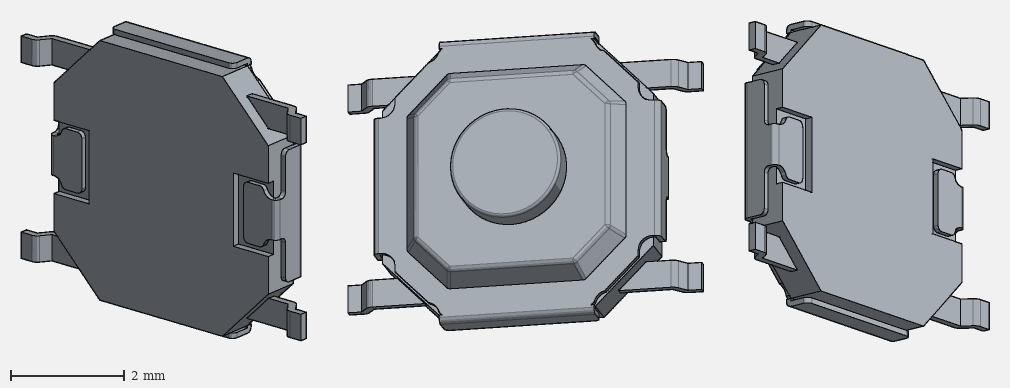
import cadquery as cq
import math


housing_half = 2.45
housing_bevel = 1.05
housing_top = 0.7
recess_half_width = 0.69
recess_depth = 0.15
recess_length = 0.8

sheet = 0.1
cover_top = housing_top + sheet
tab_outer = 2.6
tab_tip = 0.3
end_tab_half_width = 1.4
side_tab_half_width = 1.25
tab_corner_radius = 0.1
plate_bevel = 1.1
notch_radius = 0.25
notch_length = 0.2

neck_half_width = 0.38
foot_half_width = 0.575
foot_tip = 1.85
foot_corner_radius = 0.1
neck_flare_radius = foot_half_width - neck_half_width

dome_top = 1.2
dome_half = 1.985
dome_flat_half = 1.235
dome_draft = 30
dome_edge_radius = 0.1

button_radius = 1.0
button_top = 1.7
button_edge_radius = 0.05

lead_outer = 3.2
lead_thickness = 0.15
lead_width = 0.5
lead_offset = 1.85
lead_rise = 0.25
lead_foot_length = 0.25
lead_step_run = 0.25


def layer(height):
    """Workplane at a height above the mounting face; its axes are X and Z."""
    return cq.Workplane("XZ", origin=(0, height, 0))


def bevelled_square(half, bevel, bottom, top):
    return (
        layer(bottom)
        .rect(2 * half, 2 * half)
        .extrude(bottom - top)
        .edges("|Y")
        .chamfer(bevel)
    )


def make_housing():
    body = bevelled_square(housing_half, housing_bevel, 0, housing_top)
    recess_centre = housing_half - recess_length / 2
    recesses = (
        layer(0)
        .pushPoints([(-recess_centre, 0), (recess_centre, 0)])
        .rect(recess_length, 2 * recess_half_width)
        .extrude(-recess_depth)
    )
    return body.cut(recesses)


def make_plate():
    """Cover plate with a round-ended relief notch at both ends of every tab."""
    plate = bevelled_square(housing_half, plate_bevel, housing_top, cover_top)
    slot_length = notch_length + 2 * notch_radius
    end_notch = end_tab_half_width + slot_length / 2
    side_notch = side_tab_half_width + slot_length / 2
    for side_x in (-1, 1):
        for side_z in (-1, 1):
            end_slot = (
                layer(housing_top)
                .center(side_x * end_notch, side_z * housing_half)
                .slot2D(slot_length, 2 * notch_radius)
                .extrude(-sheet)
            )
            side_slot = (
                layer(housing_top)
                .center(side_x * housing_half, side_z * side_notch)
                .slot2D(slot_length, 2 * notch_radius, 90)
                .extrude(-sheet)
            )
            plate = plate.cut(end_slot).cut(side_slot)
    return plate


def make_dome():
    """Octagonal frustum with rounded top and slanting edges."""
    return (
        layer(cover_top)
        .polyline([
            (dome_flat_half, dome_half),
            (-dome_flat_half, dome_half),
            (-dome_half, dome_flat_half),
            (-dome_half, -dome_flat_half),
            (-dome_flat_half, -dome_half),
            (dome_flat_half, -dome_half),
            (dome_half, -dome_flat_half),
            (dome_half, dome_flat_half),
        ])
        .close()
        .extrude(cover_top - dome_top, taper=dome_draft)
        .edges("not <Y")
        .fillet(dome_edge_radius)
    )


def bent_lip(half_width):
    """Rim of the plate beyond the housing, and the tab below it, at the -X side."""
    rim_length = tab_outer - housing_half
    rim = cq.Workplane("XY").box(rim_length, sheet, 2 * half_width, centered=(False, False, True))
    skirt = cq.Workplane("XY").box(sheet, cover_top - tab_tip, 2 * half_width, centered=(False, False, True))
    return (
        rim.translate((-tab_outer, housing_top, 0))
        .union(skirt.translate((-tab_outer, tab_tip, 0)))
        .edges("|Z and <X and >Y")
        .fillet(sheet)
    )


def make_end_tab():
    """Tab with rounded lower corners, at the -X side."""
    return bent_lip(end_tab_half_width).edges("|X and <Y").fillet(tab_corner_radius)


def make_foot():
    """Neck and foot pad below the -X side tab, with a folded lower edge."""
    foot_bottom = recess_depth - sheet
    flare_start = -tab_outer + sheet
    flare_end = flare_start + neck_flare_radius
    flare_sag = neck_flare_radius * math.sqrt(0.5)
    pad = (
        layer(foot_bottom)
        .moveTo(-tab_outer, -neck_half_width)
        .lineTo(flare_start, -neck_half_width)
        .threePointArc(
            (flare_start + flare_sag, -foot_half_width + flare_sag),
            (flare_end, -foot_half_width),
        )
        .lineTo(-foot_tip, -foot_half_width)
        .lineTo(-foot_tip, foot_half_width)
        .lineTo(flare_end, foot_half_width)
        .threePointArc(
            (flare_start + flare_sag, foot_half_width - flare_sag),
            (flare_start, neck_half_width),
        )
        .lineTo(-tab_outer, neck_half_width)
        .close()
        .extrude(-sheet)
    )
    pad_corners = cq.selectors.BoxSelector(
        (flare_end - 0.005, 0, -tab_outer), (0, cover_top, tab_outer)
    )
    pad = pad.edges("|Y").edges(pad_corners).fillet(foot_corner_radius)
    neck = cq.Workplane("XY").box(
        sheet, tab_tip - foot_bottom, 2 * neck_half_width, centered=(False, False, True)
    )
    return (
        pad.union(neck.translate((-tab_outer, foot_bottom, 0)))
        .edges("|Z and <X and <Y")
        .fillet(sheet)
    )


def make_side_tab():
    """Tab with a foot, at the -X side; its lower corners and the neck roots are rounded."""
    tab = bent_lip(side_tab_half_width).union(make_foot())
    lower_edge = cq.selectors.BoxSelector(
        (-tab_outer, tab_tip - 0.005, -tab_outer), (-housing_half, tab_tip + 0.005, tab_outer)
    )
    return tab.edges("|X").edges(lower_edge).fillet(tab_corner_radius)


def make_cover():
    cover = make_plate().union(make_dome())
    for turn in (0, 180):
        side_tab = make_side_tab().rotate((0, 0, 0), (0, 1, 0), turn)
        end_tab = make_end_tab().rotate((0, 0, 0), (0, 1, 0), turn + 90)
        cover = cover.union(side_tab).union(end_tab)
    return cover


def make_button():
    return (
        layer(dome_top)
        .circle(button_radius)
        .extrude(dome_top - button_top)
        .edges(">Y")
        .fillet(button_edge_radius)
    )


def make_lead(side_x, side_z):
    """Stepped strip with rounded outer bends, set into the bevelled housing corner."""
    foot_bend = -lead_outer + lead_foot_length
    top_bend = foot_bend + lead_step_run
    lead_top = lead_rise + lead_thickness
    lead_end = 2 * housing_half - housing_bevel - (lead_offset + lead_width / 2)
    bend_rise = lead_rise - lead_thickness
    bend_distance = math.hypot(lead_step_run, bend_rise)
    slope = math.atan2(bend_rise, lead_step_run) + math.asin(lead_thickness / bend_distance)

    def around_foot_bend(angle):
        return (
            foot_bend + lead_thickness * math.sin(angle),
            lead_thickness - lead_thickness * math.cos(angle),
        )

    def around_top_bend(angle):
        return (
            top_bend - lead_thickness * math.sin(angle),
            lead_rise + lead_thickness * math.cos(angle),
        )

    strip = (
        cq.Workplane("XY", origin=(0, 0, lead_offset - lead_width / 2))
        .moveTo(-lead_outer, 0)
        .lineTo(foot_bend, 0)
        .threePointArc(around_foot_bend(slope / 2), around_foot_bend(slope))
        .lineTo(top_bend, lead_rise)
        .lineTo(-lead_end, lead_rise)
        .lineTo(-lead_end, lead_top)
        .lineTo(top_bend, lead_top)
        .threePointArc(around_top_bend(slope / 2), around_top_bend(slope))
        .lineTo(foot_bend, lead_thickness)
        .lineTo(-lead_outer, lead_thickness)
        .close()
        .extrude(lead_width)
    )
    if side_x > 0:
        strip = strip.mirror("YZ")
    if side_z < 0:
        strip = strip.mirror("XY")
    return strip


leads = [make_lead(side_x, side_z) for side_x in (-1, 1) for side_z in (-1, 1)]
housing = make_housing()
for lead in leads:
    housing = housing.cut(lead)
cover = make_cover()
button = make_button()

result = cq.Compound.makeCompound(
    [housing.val(), cover.val(), button.val(), *[lead.val() for lead in leads]]
)